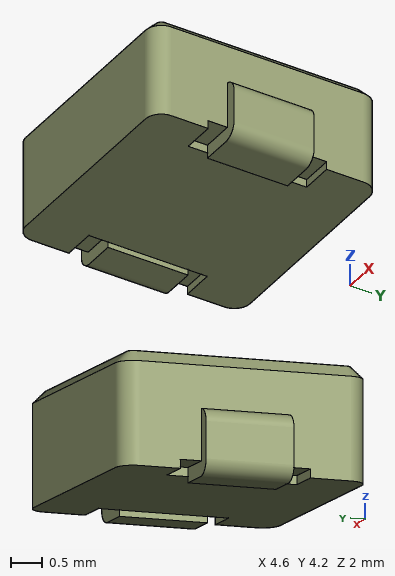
import cadquery as cq

overall_length = 4.6
overall_height = 2.0

body_side = 4.2
body_standoff = 0.1
body_corner_radius = 0.3
top_chamfer = 0.202

terminal_width = 1.5
terminal_height = 1.105
terminal_bend_radius = 0.25
foot_length = 0.8

recess_width = 2.215
recess_top = 0.25

body_half = body_side / 2
overall_half = overall_length / 2
foot_end = overall_half - foot_length


def make_body():
    """Square block with rounded vertical corners and a chamfered top rim."""
    block = (
        cq.Workplane("XY")
        .workplane(offset=body_standoff)
        .rect(body_side, body_side)
        .extrude(overall_height - body_standoff)
    )
    return block.edges("|Z").fillet(body_corner_radius).faces(">Z").chamfer(top_chamfer)


def make_recess():
    """Cutter for the shallow recess under the +X side of the body."""
    return cq.Workplane("XY").box(
        body_half - foot_end, recess_width, recess_top, centered=(False, True, False)
    ).translate((foot_end, 0, 0))


def make_terminal():
    """Terminal on the +X side: a foot in the recess and an upright outside the body wall."""
    foot = cq.Workplane("XY").box(
        foot_length, terminal_width, recess_top, centered=(False, True, False)
    ).translate((foot_end, 0, 0))
    upright_depth = 2 * terminal_bend_radius
    upright = cq.Workplane("XY").box(
        upright_depth, terminal_width, terminal_height, centered=(False, True, False)
    ).translate((overall_half - upright_depth, 0, 0))
    strip = foot.union(upright)
    return strip.edges("|Y and >X").fillet(terminal_bend_radius)


def mirrored_pair(shape):
    """The +X shape together with its copy on the -X side."""
    return shape.union(shape.mirror("YZ"))


result = make_body().cut(mirrored_pair(make_recess())).union(mirrored_pair(make_terminal()))